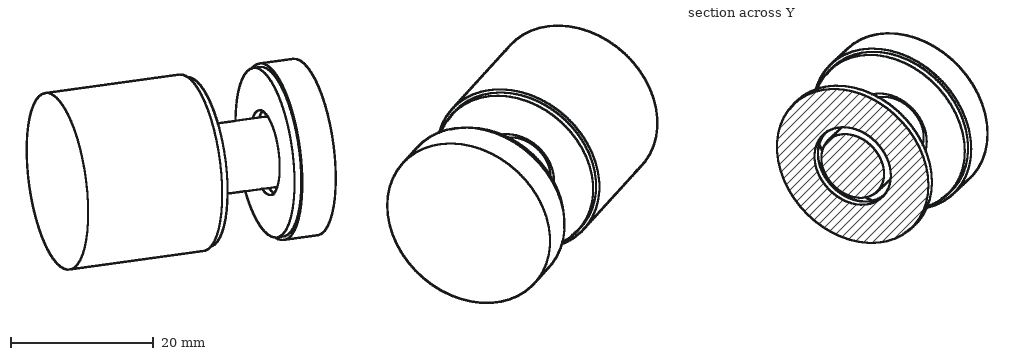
import cadquery as cq

total_length = 37.0
cap_thickness = 5.0
washer_thickness = 1.0
panel_gap = 10.0
barrel_length = total_length - cap_thickness - panel_gap - 2 * washer_thickness
head_diameter = 25.0
washer_diameter = 24.0
washer_bore = 12.0
stud_diameter = 10.0

barrel_start = -total_length / 2
barrel_end = barrel_start + barrel_length
cap_end = total_length / 2
cap_start = cap_end - cap_thickness


def cylinder_along_y(diameter, start, length):
    """Round bar on the Y axis, running toward +Y from the given station."""
    return cq.Workplane("XZ", origin=(0, start, 0)).circle(diameter / 2).extrude(-length)


def make_barrel():
    """Barrel with its integral stud, which ends against the cap's inner face."""
    barrel = cylinder_along_y(head_diameter, barrel_start, barrel_length)
    stud = cylinder_along_y(stud_diameter, barrel_end, cap_start - barrel_end)
    return barrel.union(stud)


def make_cap():
    """Plain disc closing the far end of the stud."""
    return cylinder_along_y(head_diameter, cap_start, cap_thickness)


def make_washer(start):
    """Flat washer with a clearance bore around the stud."""
    disc = cylinder_along_y(washer_diameter, start, washer_thickness)
    bore = cylinder_along_y(washer_bore, start, washer_thickness)
    return disc.cut(bore)


barrel = make_barrel()
cap = make_cap()

washer_starts = [barrel_end, cap_start - washer_thickness]
washers = [make_washer(start).val() for start in washer_starts]

result = cq.Compound.makeCompound([barrel.val(), cap.val(), *washers])